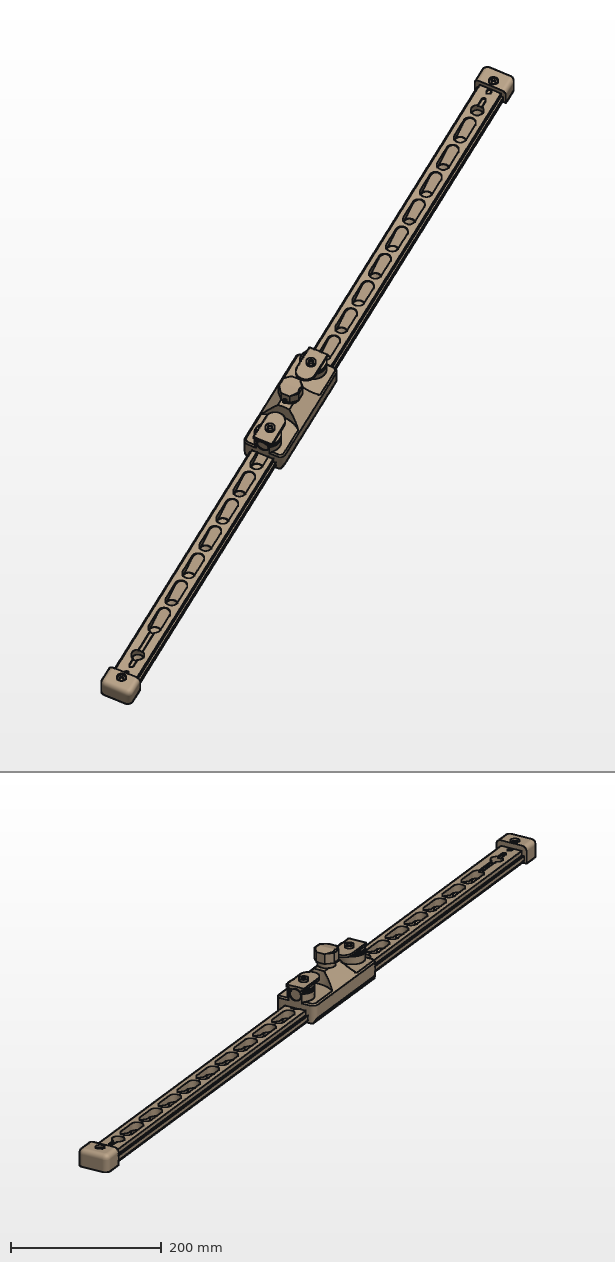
import cadquery as cq
import math

LENGTH = 1136.0
RAIL_HEIGHT = 17.0
FLANGE_HALF_WIDTH = 19.0
TOP_HALF_WIDTH = 16.0
FOOT_HALF_WIDTH = 17.0
FOOT_HEIGHT = 3.0
FLANGE_TOP = 10.0

CAP_LENGTH = 30.0
CAP_WIDTH = 47.0
CAP_HEIGHT = 25.0
CAP_ROUNDING = 8.0
CAP_TOP_ROUNDING = 7.0

CAP_SCREW_INSET = 20.0
CAP_SCREW_DIAMETER = 12.0
CAP_SCREW_DEPTH = 3.0
CAP_SCREW_SOCKET_DIAMETER = 6.2
CAP_SCREW_SOCKET_DEPTH = 6.0

STATION_PITCH = 50.0
STATION_COUNT = 21
POCKET_DIAMETER = 17.0
POCKET_FLOOR = 6.0
RAMP_FOOT = 7.0
SLOT_RUN = 27.0
RAMP_ANGLE = 18.0
HOLE_DIAMETER = 6.0
GROOVE_WIDTH = 6.0
GROOVE_DEPTH = 2.0
GROOVE_BREAK = 526.0
GROOVE_BREAK_LENGTH = 8.0

CARRIAGE_Y = -50.0
CARRIAGE_LENGTH = 165.0
CARRIAGE_WIDTH = 60.0
DECK_HEIGHT = 28.0
DECK_CHAMFER = 2.0
CORNER_RADIUS = 8.0
SKIRT_CHAMFER_WIDTH = 3.0
SKIRT_CHAMFER_HEIGHT = 7.0

RIDGE_HEIGHT = 48.0
SCOOP_RADIUS = 44.0
SCOOP_TAPER = 8.0

PEDESTAL_OFFSET = 67.0
PEDESTAL_RADIUS = 18.0
PEDESTAL_TOP = 45.0
PEDESTAL_GROOVE_BOTTOM = 40.0
PEDESTAL_GROOVE_TOP = 43.0
PEDESTAL_NECK_RADIUS = 16.0
END_FACE_RECESS_DIAMETER = 17.0
END_FACE_RECESS_DEPTH = 1.0
END_FACE_RECESS_Z = 36.0
LEVER_HALF_WIDTH = 14.0
LEVER_THICKNESS = 3.0
LEVER_TIP_OFFSET = 32.0
STUD_OFFSET = 60.0
STUD_DIAMETER = 12.0
STUD_HEIGHT = 3.0
STUD_SOCKET_DIAMETER = 6.2

TOTAL_HEIGHT = 73.0
HEAD_ACROSS_FLATS = 31.0
HEAD_BOTTOM = 56.0
HEAD_BEVEL = 2.0
HEAD_ROOF_ANGLE = 9.0
HEAD_SIDES = 8
NECK_DIAMETER = 25.0
NUB_DIAMETER = 4.9
NUB_LENGTH = 3.0
NUB_Z = 58.0


def rod(diameter, bottom, top, y):
    """Vertical cylinder on the middle plane of the part."""
    return cq.Workplane("XY").workplane(offset=bottom).center(0, y).circle(diameter / 2).extrude(top - bottom)


def rail_bar(length, y):
    """Rail section: foot, wider flange and narrower top, run along Y."""
    half_section = [
        (FOOT_HALF_WIDTH, 0),
        (FOOT_HALF_WIDTH, FOOT_HEIGHT),
        (FLANGE_HALF_WIDTH, FOOT_HEIGHT),
        (FLANGE_HALF_WIDTH, FLANGE_TOP),
        (TOP_HALF_WIDTH, FLANGE_TOP),
        (TOP_HALF_WIDTH, RAIL_HEIGHT),
    ]
    mirrored = [(-x, z) for x, z in reversed(half_section)]
    bar = cq.Workplane("XZ").polyline(half_section + mirrored).close().extrude(length / 2, both=True)
    return bar.translate((0, y, 0))


def end_cap(end):
    """Cap with a rounded outer end; end is +1 or -1 along Y."""
    outer_face = ">Y" if end > 0 else "<Y"
    cap = cq.Workplane("XY").box(CAP_WIDTH, CAP_LENGTH, CAP_HEIGHT, centered=(True, True, False))
    cap = cap.translate((0, end * (LENGTH - CAP_LENGTH) / 2, 0))
    cap = cap.faces(outer_face).edges("|Z").fillet(CAP_ROUNDING)
    inner_face = "<Y" if end > 0 else ">Y"
    top_edges = cap.faces(">Z").edges().vals()
    inner_edge = cap.faces(">Z").edges(inner_face).val()
    rounded = [edge for edge in top_edges if not edge.isSame(inner_edge)]
    cap = cap.newObject(rounded).fillet(CAP_TOP_ROUNDING)
    screw_y = end * (LENGTH / 2 - CAP_SCREW_INSET)
    recess = rod(CAP_SCREW_DIAMETER, CAP_HEIGHT - CAP_SCREW_DEPTH, CAP_HEIGHT, screw_y)
    socket = rod(CAP_SCREW_SOCKET_DIAMETER, CAP_HEIGHT - CAP_SCREW_SOCKET_DEPTH, CAP_HEIGHT, screw_y)
    return cap.cut(recess).cut(socket)


def ramp_slot(y):
    """Round-ended slot whose floor rises in +Y from the rim of the pocket at y."""
    pocket_radius = POCKET_DIAMETER / 2
    slot = (
        cq.Workplane("XY")
        .center(0, y + SLOT_RUN / 2)
        .slot2D(SLOT_RUN + POCKET_DIAMETER, POCKET_DIAMETER, 90)
        .extrude(RAIL_HEIGHT)
    )
    ramp_rise = SLOT_RUN * math.tan(math.radians(RAMP_ANGLE))
    low_y = y + pocket_radius
    high_y = low_y + SLOT_RUN
    above_ramp = (
        cq.Workplane("YZ")
        .polyline([
            (y - pocket_radius, RAMP_FOOT),
            (low_y, RAMP_FOOT),
            (high_y, RAMP_FOOT + ramp_rise),
            (high_y, RAIL_HEIGHT),
            (y - pocket_radius, RAIL_HEIGHT),
        ])
        .close()
        .extrude(pocket_radius, both=True)
    )
    return slot.intersect(above_ramp)


def pocket(y):
    """Flat-bottomed round pocket."""
    return rod(POCKET_DIAMETER, POCKET_FLOOR, RAIL_HEIGHT, y)


def countersunk_hole(y):
    """Hole through the pocket floor, opening out in a 45-degree cone to the pocket diameter."""
    cone_depth = (POCKET_DIAMETER - HOLE_DIAMETER) / 2
    profile = [
        (0, 0),
        (HOLE_DIAMETER / 2, 0),
        (HOLE_DIAMETER / 2, POCKET_FLOOR - cone_depth),
        (POCKET_DIAMETER / 2, POCKET_FLOOR),
        (0, POCKET_FLOOR),
    ]
    return cq.Workplane("XZ").polyline(profile).close().revolve(360, (0, 0), (0, 1)).translate((0, y, 0))


def groove(start_y, end_y):
    """Shallow round-ended groove along the middle of the rail top."""
    length = end_y - start_y
    return (
        cq.Workplane("XY")
        .workplane(offset=RAIL_HEIGHT - GROOVE_DEPTH)
        .center(0, start_y + length / 2)
        .slot2D(length, GROOVE_WIDTH, 90)
        .extrude(GROOVE_DEPTH)
    )


def make_rail():
    """Slotted rail with its two end caps."""
    rail = rail_bar(LENGTH - 2 * CAP_LENGTH, 0)
    last = STATION_COUNT - 1
    first_y = STATION_PITCH * last / 2
    for station in range(STATION_COUNT):
        y = first_y - station * STATION_PITCH
        if 0 < station < last:
            rail = rail.cut(ramp_slot(y))
        rail = rail.cut(pocket(y))
        if station % 2 == 0:
            rail = rail.cut(countersunk_hole(y))
    inner_end = GROOVE_BREAK - GROOVE_BREAK_LENGTH / 2
    outer_start = GROOVE_BREAK + GROOVE_BREAK_LENGTH / 2
    rail_end = LENGTH / 2 - CAP_LENGTH
    rail = rail.cut(groove(first_y, inner_end)).cut(groove(outer_start, rail_end))
    rail = rail.cut(groove(-inner_end, -first_y + STATION_PITCH)).cut(groove(-rail_end, -outer_start))
    return rail.union(end_cap(1)).union(end_cap(-1))


def base():
    """Deck block with rounded corners, softened top edge and tapered skirt."""
    block = cq.Workplane("XY").box(CARRIAGE_WIDTH, CARRIAGE_LENGTH, DECK_HEIGHT, centered=(True, True, False))
    block = block.edges("|Z").fillet(CORNER_RADIUS)
    block = block.faces(">Z").edges().chamfer(DECK_CHAMFER)
    for side in (1, -1):
        x = side * CARRIAGE_WIDTH / 2
        wedge = (
            cq.Workplane("XZ")
            .polyline([(x, 0), (x, SKIRT_CHAMFER_HEIGHT), (x - side * SKIRT_CHAMFER_WIDTH, 0)])
            .close()
            .extrude(CARRIAGE_LENGTH, both=True)
        )
        block = block.cut(wedge)
    return block


def ridge():
    """Ridge with 45-degree flanks, scooped at each end around the pedestals."""
    shoulder = DECK_HEIGHT - DECK_CHAMFER
    half_width = CARRIAGE_WIDTH / 2
    top_half_width = half_width - (RIDGE_HEIGHT - shoulder)
    body = (
        cq.Workplane("XZ")
        .polyline([
            (-half_width, shoulder),
            (half_width, shoulder),
            (top_half_width, RIDGE_HEIGHT),
            (-top_half_width, RIDGE_HEIGHT),
        ])
        .close()
        .extrude(PEDESTAL_OFFSET, both=True)
    )
    for end in (1, -1):
        scoop = (
            cq.Workplane("XY")
            .workplane(offset=shoulder)
            .center(0, end * PEDESTAL_OFFSET)
            .circle(SCOOP_RADIUS)
            .extrude(RIDGE_HEIGHT - shoulder, taper=-SCOOP_TAPER)
        )
        body = body.cut(scoop)
    return body


def pedestal_column(end):
    """Grooved round column cut flat, with a round recess, at the carriage end."""
    y = end * PEDESTAL_OFFSET
    foot_z = DECK_HEIGHT - DECK_CHAMFER
    column = rod(2 * PEDESTAL_RADIUS, foot_z, PEDESTAL_GROOVE_BOTTOM, y)
    column = column.union(rod(2 * PEDESTAL_NECK_RADIUS, PEDESTAL_GROOVE_BOTTOM, PEDESTAL_GROOVE_TOP, y))
    column = column.union(rod(2 * PEDESTAL_RADIUS, PEDESTAL_GROOVE_TOP, PEDESTAL_TOP, y))
    deck_length_limit = cq.Workplane("XY").box(CARRIAGE_WIDTH, CARRIAGE_LENGTH, 2 * TOTAL_HEIGHT)
    end_recess = (
        cq.Workplane("XZ", origin=(0, end * CARRIAGE_LENGTH / 2, END_FACE_RECESS_Z))
        .circle(END_FACE_RECESS_DIAMETER / 2)
        .extrude(END_FACE_RECESS_DEPTH, both=True)
    )
    return column.intersect(deck_length_limit).cut(end_recess)


def lever_station(end):
    """Round pedestal carrying a flat lever and a stud; end is +1 or -1 along Y."""
    outer_y = end * CARRIAGE_LENGTH / 2
    pedestal = pedestal_column(end)
    tip_y = end * (LEVER_TIP_OFFSET + LEVER_HALF_WIDTH)
    lever = (
        cq.Workplane("XY")
        .workplane(offset=PEDESTAL_TOP)
        .moveTo(LEVER_HALF_WIDTH, outer_y)
        .lineTo(LEVER_HALF_WIDTH, tip_y)
        .threePointArc((0, tip_y - end * LEVER_HALF_WIDTH), (-LEVER_HALF_WIDTH, tip_y))
        .lineTo(-LEVER_HALF_WIDTH, outer_y)
        .close()
        .extrude(LEVER_THICKNESS)
    )
    lever_top = PEDESTAL_TOP + LEVER_THICKNESS
    stud_y = end * STUD_OFFSET
    stud = rod(STUD_DIAMETER, lever_top, lever_top + STUD_HEIGHT, stud_y)
    socket = rod(STUD_SOCKET_DIAMETER, lever_top, lever_top + STUD_HEIGHT, stud_y)
    return pedestal.union(lever).union(stud).cut(socket)


def head():
    """Bevelled octagonal head with a shallow gabled top, its neck and a small nub on its -Y flat."""
    octagon = (
        cq.Workplane("XY")
        .workplane(offset=HEAD_BOTTOM)
        .polygon(HEAD_SIDES, HEAD_ACROSS_FLATS, circumscribed=True)
        .extrude(TOTAL_HEIGHT - HEAD_BOTTOM)
        .faces(">Z")
        .edges()
        .chamfer(HEAD_BEVEL)
    )
    eave_y = HEAD_ACROSS_FLATS / 2
    eave_z = TOTAL_HEIGHT - eave_y * math.tan(math.radians(HEAD_ROOF_ANGLE))
    roof = (
        cq.Workplane("YZ")
        .polyline([
            (-eave_y, HEAD_BOTTOM),
            (-eave_y, eave_z),
            (0, TOTAL_HEIGHT),
            (eave_y, eave_z),
            (eave_y, HEAD_BOTTOM),
        ])
        .close()
        .extrude(HEAD_ACROSS_FLATS, both=True)
    )
    octagon = octagon.intersect(roof)
    neck = rod(NECK_DIAMETER, RIDGE_HEIGHT, HEAD_BOTTOM, 0)
    nub = (
        cq.Workplane("XZ", origin=(0, -HEAD_ACROSS_FLATS / 2, NUB_Z))
        .circle(NUB_DIAMETER / 2)
        .extrude(NUB_LENGTH)
    )
    return octagon.union(neck).union(nub)


def make_carriage():
    """Carriage with a channel that fits the rail section."""
    body = base().union(ridge()).union(head())
    for end in (1, -1):
        body = body.union(lever_station(end))
    return body.translate((0, CARRIAGE_Y, 0)).cut(rail_bar(CARRIAGE_LENGTH, CARRIAGE_Y))


rail = make_rail()
carriage = make_carriage()
result = cq.Compound.makeCompound([rail.val(), carriage.val()])